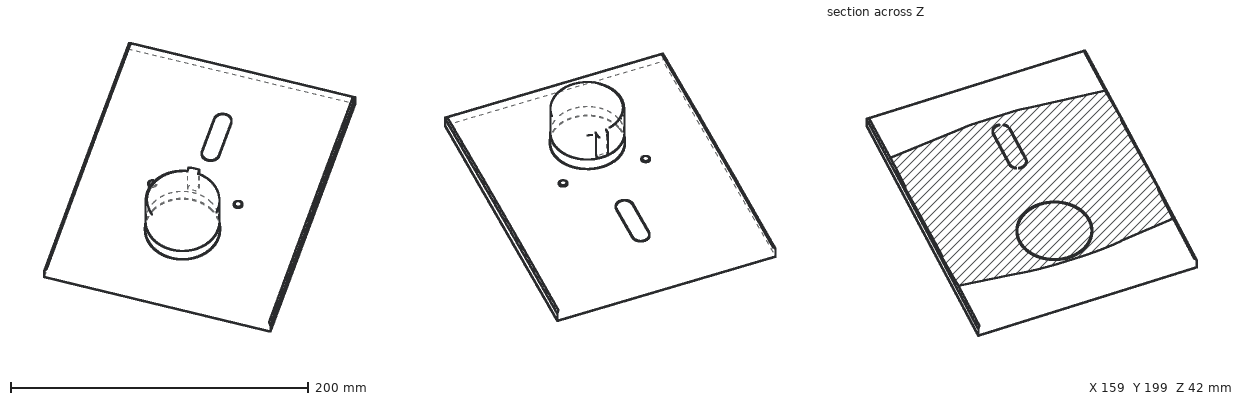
import cadquery as cq
import math

plate_width = 159.0
plate_length = 199.0
total_height = 42.0
crown_height = 9.4
end_height = 8.4
plate_edge_fillet = 1.4

knob_y = -40.4
knob_radius = 24.9
knob_top_fillet = 1.0
collar_radius = 25.0
collar_top = 17.7

tab_width = 7.5
tab_end_y = -12.3
tab_bottom = 20.7
tab_fillet = 1.4

window_y = 39.6
window_length = 40.5
window_width = 12.1

window_groove_width = 0.2
collar_groove_width = 0.4
groove_depth = 0.5

button_x = 30.0
button_y = -10.3
button_radius = 3.0
button_top = 10.0
button_chamfer = 0.5

crown_rise = crown_height - end_height
crown_radius = ((plate_length / 2) ** 2 + crown_rise**2) / (2 * crown_rise)


def crown_z(y):
    """Height of the crowned top at the given Y."""
    return crown_height - crown_radius + math.sqrt(crown_radius**2 - y**2)


def make_plate():
    end_y = plate_length / 2
    plate = (
        cq.Workplane("YZ", origin=(-plate_width / 2, 0, 0))
        .moveTo(-end_y, 0)
        .lineTo(-end_y, end_height)
        .threePointArc((0, crown_height), (end_y, end_height))
        .lineTo(end_y, 0)
        .close()
        .extrude(plate_width)
    )
    return plate.faces(">Z").edges().fillet(plate_edge_fillet)


def make_window_groove():
    floor = crown_z(window_y) - groove_depth
    depth = crown_height - floor
    margin = 2 * window_groove_width
    outline = cq.Workplane("XY", origin=(0, window_y, floor))
    outer = outline.slot2D(window_length, window_width, 90).extrude(depth)
    inner = outline.slot2D(window_length - margin, window_width - margin, 90).extrude(depth)
    return outer.cut(inner)


def make_collar_groove():
    floor = crown_z(knob_y) - groove_depth
    return (
        cq.Workplane("XY", origin=(0, knob_y, floor))
        .circle(collar_radius + collar_groove_width)
        .extrude(crown_height - floor)
    )


def make_tab():
    length = tab_end_y - knob_y
    tab = cq.Workplane("XY", origin=(0, knob_y + length / 2, tab_bottom)).box(
        tab_width, length, total_height - tab_bottom, centered=(True, True, False)
    )
    return tab.faces(">Y").edges().fillet(tab_fillet)


def make_knob():
    collar = cq.Workplane("XY", origin=(0, knob_y, 0)).circle(collar_radius).extrude(collar_top)
    knob = (
        cq.Workplane("XY", origin=(0, knob_y, collar_top))
        .circle(knob_radius)
        .extrude(total_height - collar_top)
        .faces(">Z")
        .edges()
        .fillet(knob_top_fillet)
    )
    return collar.union(knob).union(make_tab())


def make_buttons():
    return (
        cq.Workplane("XY")
        .pushPoints([(-button_x, button_y), (button_x, button_y)])
        .circle(button_radius)
        .extrude(button_top)
        .faces(">Z")
        .edges()
        .chamfer(button_chamfer)
    )


plate = make_plate().cut(make_window_groove()).cut(make_collar_groove())
result = plate.union(make_knob()).union(make_buttons())